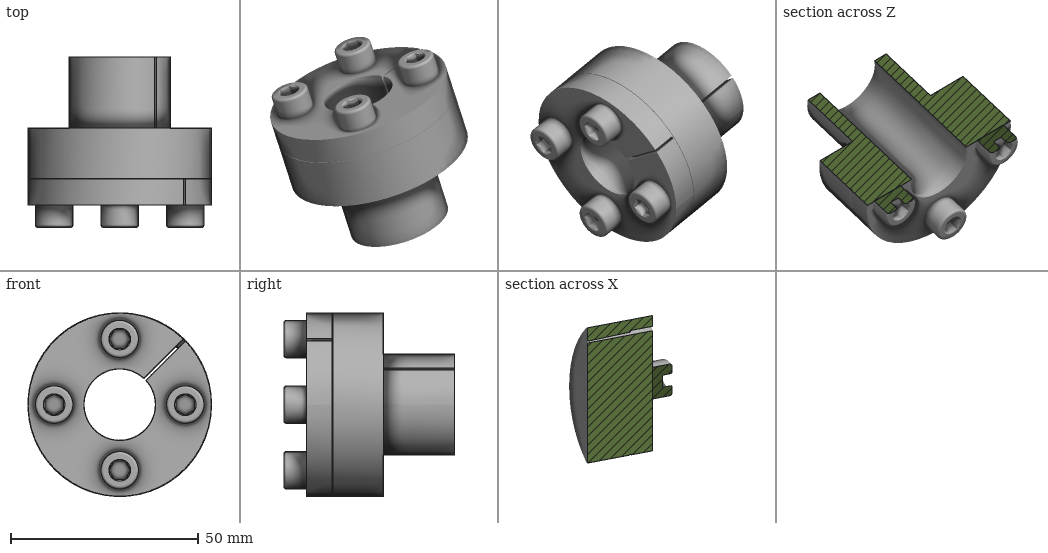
import cadquery as cq
import math

outer_diameter = 49.0
bore_diameter = 19.0
sleeve_diameter = 27.0
flange_thickness = 6.9
groove_width = 0.2
groove_depth = 0.2
ring_thickness = 13.45
sleeve_length = 19.0

slit_width = 0.8
slit_front_radius = 21.8
slit_back_radius = 21.55
slit_angle = 45.0

screw_count = 4
screw_circle_radius = 17.5
head_diameter = 10.0
head_height = 6.0
head_fillet = 0.75
socket_across_flats = 5.0
socket_depth = 3.0
socket_entry_angle = 45.0

ring_start = flange_thickness + groove_width
ring_end = ring_start + ring_thickness
hub_end = ring_end + sleeve_length

hexagon_sides = 6
socket_across_corners = socket_across_flats / math.cos(math.pi / hexagon_sides)
entry_radius = socket_across_corners / 2
entry_cone_depth = entry_radius * math.tan(math.radians(socket_entry_angle))


def cylinder_along_y(diameter, start, end):
    """Cylinder on the Y axis between two Y positions."""
    start_plane = cq.Workplane("XZ", origin=(0, start, 0))
    return start_plane.circle(diameter / 2).extrude(start - end)


def make_slit():
    """Cutting slab for the slit: open at the flange rim, closed inside the ring."""
    beyond_rim = outer_diameter
    slab = (
        cq.Workplane("XY")
        .moveTo(0, 0)
        .lineTo(beyond_rim, 0)
        .lineTo(beyond_rim, flange_thickness)
        .lineTo(slit_front_radius, flange_thickness)
        .lineTo(slit_back_radius, ring_end)
        .lineTo(slit_back_radius, hub_end)
        .lineTo(0, hub_end)
        .close()
        .extrude(slit_width / 2, both=True)
    )
    return slab.rotate((0, 0, 0), (0, 1, 0), -slit_angle)


def make_hub():
    """Flange, ring and sleeve in one piece, with a shallow groove, a bore and a slit."""
    groove_diameter = outer_diameter - 2 * groove_depth
    flange = cylinder_along_y(outer_diameter, 0, flange_thickness)
    groove_floor = cylinder_along_y(groove_diameter, flange_thickness, ring_start)
    ring = cylinder_along_y(outer_diameter, ring_start, ring_end)
    sleeve = cylinder_along_y(sleeve_diameter, ring_end, hub_end)
    bore = cylinder_along_y(bore_diameter, 0, hub_end)
    return flange.union(groove_floor).union(ring).union(sleeve).cut(bore).cut(make_slit())


def make_screw(angle):
    """Socket head screw, turned about the Y axis to its place on the screw circle."""
    head = cylinder_along_y(head_diameter, -head_height, 0)
    head = head.faces("<Y").edges().fillet(head_fillet)

    head_face = cq.Workplane("XZ", origin=(0, -head_height, 0))
    socket = head_face.polygon(hexagon_sides, socket_across_corners).extrude(-socket_depth)
    entry_cone = cq.Solid.makeCone(
        entry_radius, 0, entry_cone_depth, cq.Vector(0, -head_height, 0), cq.Vector(0, 1, 0)
    )
    screw = head.cut(socket).cut(cq.Workplane(entry_cone))
    return screw.translate((0, 0, screw_circle_radius)).rotate((0, 0, 0), (0, 1, 0), angle)


hub = make_hub()
screws = [make_screw(index * 360 / screw_count) for index in range(screw_count)]

result = cq.Compound.makeCompound([hub.val(), *[screw.val() for screw in screws]])